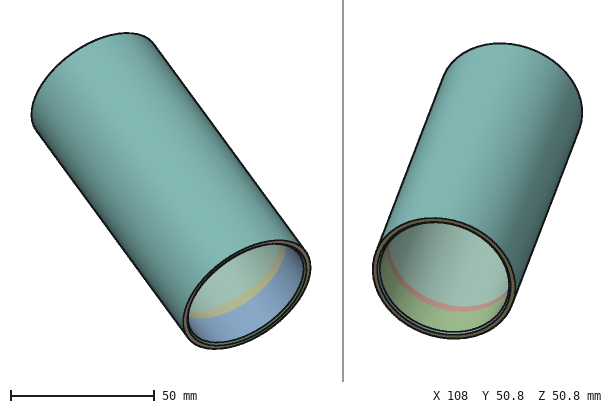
import cadquery as cq

length = 108.0
outer_radius = 25.4

land_radius = 23.0
mouth_chamfer = 0.8
land_end = 13.2
relief_start = 17.3
relief_depth = 0.5

mouth_radius = land_radius + mouth_chamfer
relief_radius = land_radius + relief_depth

half_section = [
    (0, outer_radius),
    (0, mouth_radius),
    (mouth_chamfer, land_radius),
    (land_end, land_radius),
    (relief_start, relief_radius),
    (length - relief_start, relief_radius),
    (length - land_end, land_radius),
    (length - mouth_chamfer, land_radius),
    (length, mouth_radius),
    (length, outer_radius),
]

result = (
    cq.Workplane("XZ")
    .polyline(half_section)
    .close()
    .revolve(360, (0, 0, 0), (1, 0, 0))
)